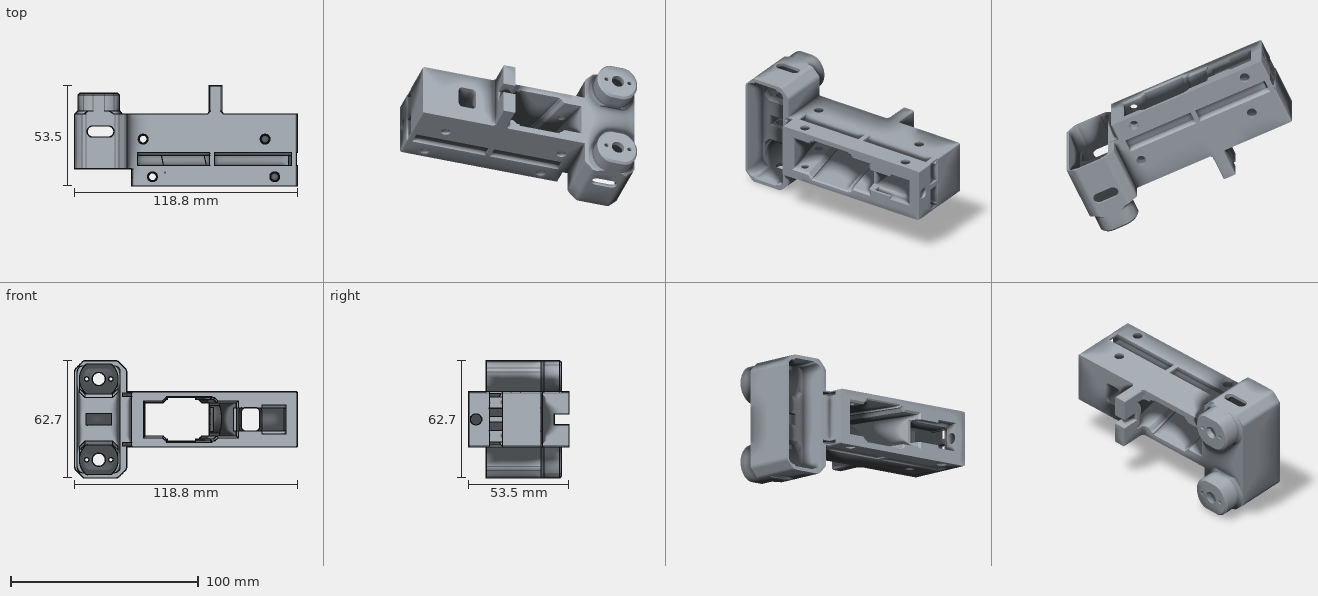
import cadquery as cq
import math

POD_WIDTH = 27.9
POD_HEIGHT = 62.7
POD_FRONT = 9.3
POD_BACK = 38.5
POD_CHAMFER = 5.0
POD_CORNER_RADIUS = 3.0
POCKET_LEFT, POCKET_RIGHT = 1.4, 24.3
POCKET_HEIGHT = 57.0
POCKET_FLOOR = 23.4
POCKET_RADIUS = 3.2
SENSOR_WIDTH, SENSOR_HEIGHT, SENSOR_DEPTH = 13.4, 6.2, 10.7
WIRE_SLOT_X, WIRE_SLOT_Y = 13.9, 29.1
WIRE_SLOT_LENGTH, WIRE_SLOT_WIDTH = 14.1, 5.8

BOSS_X, BOSS_Z = 13.0, 21.5
BOSS_RADIUS = 11.2
BOSS_OUTER_FLAT = POD_HEIGHT / 2 - BOSS_Z
BOSS_INNER_FLAT = 10.3
BOSS_FLAT_RADIUS = 7.1
BOSS_END = 49.5
BOSS_CHAMFER = 1.1
BOSS_FLARE, BOSS_FLARE_LENGTH = 1.4, 1.7
RECESS_RADIUS, RECESS_FLAT = 10.3, 8.0
RECESS_END = 46.3
SHAFT_HOLE_DIAMETER = 6.9
SCREW_HOLE_DIAMETER, SCREW_HOLE_OFFSET = 2.3, 6.4
LEAD_IN = 1.9
LEAD_IN_CORNER = 3.0

LENGTH = 118.8
BODY_LEFT = 30.4
BODY_HALF_HEIGHT = 14.8
BODY_HEIGHT = 2 * BODY_HALF_HEIGHT
BODY_BACK = POD_BACK
EDGE_RADIUS = 0.8

TAB_LEFT, TAB_RIGHT = 71.7, 78.6
TAB_END = 53.5
TAB_FLARE = 0.8
TAB_SLOT_WIDTH = 5.5
TAB_SLOT_FLOOR = 45.6
TAB_SLOT_LOW_FLOOR, TAB_SLOT_STEP = 43.6, 75.3

CAVITY_LEFT, CAVITY_RIGHT = 37.8, 86.2
CAVITY_DEPTH = 43.1
CAVITY_LEAN = 0.21
CAVITY_HALF_HEIGHT = 8.8
CAVITY_STEP = 10.6
CAVITY_WIDE = 11.5
WIDE_LEFT, WIDE_RIGHT = 49.8, 72.5
STEP_LEFT, STEP_RIGHT = 49.2, 74.2
CAVITY_BEVEL = 1.1
WIDE_BEVEL = 0.7
NOSE_START, NOSE_SHELF_END = 72.2, 74.1
NOSE_RADIUS, NOSE_CENTER_Y = 7.6, 45.4
NOSE_SHELF_Y = 41.3

BAY_LEFT, BAY_RIGHT = 86.2, 112.6
BAY_DEPTH = 19.0
BAY_HALF_HEIGHT = 6.2
BAY_WIDE_HALF, BAY_WIDE_LEFT = 7.7, 100.0
BAY_GROOVE_LEFT, BAY_GROOVE_FRONT = 89.1, 1.4
BAY_RAMP_START = 4.6
PASSAGE_LEFT, PASSAGE_DEPTH = 81.9, 7.2
PORT_LEFT, PORT_RIGHT = 89.0, 98.7
PORT_RADIUS = 2.3
PORT_CHAMFER = 1.3
END_HOLE_Y, END_HOLE_DIAMETER = 3.9, 5.9

STRAP_FRONT, STRAP_BACK = 11.0, 17.9
STRAP_FLOOR_BACK = 16.3
STRAP_DEPTH = 2.8
STRAP_COVER = 1.1
STRAP_SLOTS = [(33.6, 72.0), (74.7, 115.5)]
OUTLET_LEFT, OUTLET_BOTTOM = 114.1, 1.4
END_GROOVE_DEPTH = 0.5
SIDE_POCKET_LEFT, SIDE_POCKET_FRONT = 111.5, 7.4
SIDE_POCKET_DEPTH, SIDE_POCKET_HALF = 20.2, 5.8

THROUGH_SCREWS = [(36.6, 25.0), (41.6, 5.0)]
BLIND_SCREWS = [(101.5, 25.0), (106.6, 5.0)]
SCREW_DIAMETER = 4.2
COUNTERBORE_DIAMETER, COUNTERBORE_DEPTH = 5.2, 3.6
BLIND_SCREW_DEPTH = 4.8
TIE_LEFT, TIE_CENTER_Y = 25.6, 9.0
TIE_RADIUS = 5.3
TIE_BOTTOM, TIE_HEIGHT = 12.2, 1.9


def block(x0, x1, y0, y1, z0, z1):
    return cq.Workplane("XY").box(x1 - x0, y1 - y0, z1 - z0, centered=False).translate((x0, y0, z0))


def facing_back(y, x=0, z=0):
    """Sketch plane at depth y with local axes +X and +Z; a negative extrusion runs toward +Y."""
    return cq.Workplane("XZ", origin=(x, y, z))


def both_sides(shape):
    """The shape together with its mirror image below the middle plane."""
    return shape.union(shape.mirror("XY"))


def sheared_prism(outline, direction):
    """Prism swept from a closed outline along a direction that may be oblique."""
    return cq.Workplane(cq.Solid.extrudeLinear(outline.val(), [], direction))


def flattened_disc(y, length, radius, outer_flat, inner_flat):
    """Disc along +Y at the upper boss axis, cut flat above (outer) and below (inner)."""
    disc = facing_back(y, BOSS_X, BOSS_Z).circle(radius).extrude(-length)
    limit = block(
        BOSS_X - radius, BOSS_X + radius, y, y + length, BOSS_Z - inner_flat, BOSS_Z + outer_flat
    )
    return disc.intersect(limit)


def pod_shell():
    return (
        facing_back(POD_FRONT)
        .rect(POD_WIDTH, POD_HEIGHT)
        .extrude(POD_FRONT - POD_BACK)
        .translate((POD_WIDTH / 2, 0, 0))
        .edges("|Y").chamfer(POD_CHAMFER)
        .edges("|Y").fillet(POD_CORNER_RADIUS)
    )


def boss():
    """Upper motor boss with its rounded flats and flared foot."""
    body = flattened_disc(POD_BACK, BOSS_END - POD_BACK, BOSS_RADIUS, BOSS_OUTER_FLAT, BOSS_INNER_FLAT)
    body = body.edges("|Y").fillet(BOSS_FLAT_RADIUS).faces(">Y").chamfer(BOSS_CHAMFER)
    taper = math.degrees(math.atan2(BOSS_FLARE, BOSS_FLARE_LENGTH))
    foot = (
        facing_back(POD_BACK, BOSS_X, BOSS_Z)
        .circle(BOSS_RADIUS + BOSS_FLARE)
        .extrude(-BOSS_FLARE_LENGTH, taper=taper)
    )
    foot_limit = block(0, POD_WIDTH, POD_BACK, BOSS_END, BOSS_Z - BOSS_INNER_FLAT, POD_HEIGHT / 2)
    return body.union(foot.intersect(foot_limit))


def boss_recess():
    """Hollow of the upper boss, open to the pocket, with shaft and screw holes."""
    recess = flattened_disc(POD_FRONT, RECESS_END - POD_FRONT, RECESS_RADIUS, RECESS_FLAT, RECESS_FLAT)
    half = RECESS_RADIUS
    low = -RECESS_FLAT - LEAD_IN
    lead_in_mouth = (
        facing_back(POCKET_FLOOR, BOSS_X, BOSS_Z)
        .polyline([
            (-half, 0),
            (-half, low + LEAD_IN_CORNER),
            (-half + LEAD_IN_CORNER, low),
            (half - LEAD_IN_CORNER, low),
            (half, low + LEAD_IN_CORNER),
            (half, 0),
        ])
        .close()
    )
    lead_in = sheared_prism(lead_in_mouth, cq.Vector(0, LEAD_IN, LEAD_IN))
    shaft = facing_back(RECESS_END, BOSS_X, BOSS_Z).circle(SHAFT_HOLE_DIAMETER / 2)
    screws = facing_back(RECESS_END, BOSS_X, BOSS_Z).pushPoints(
        [(-SCREW_HOLE_OFFSET, 0), (SCREW_HOLE_OFFSET, 0)]
    ).circle(SCREW_HOLE_DIAMETER / 2)
    hole_length = RECESS_END - BOSS_END
    return recess.union(lead_in).union(shaft.extrude(hole_length)).union(screws.extrude(hole_length))


def pod_pocket():
    half = POCKET_HEIGHT / 2
    pocket = block(POCKET_LEFT, POCKET_RIGHT, POD_FRONT, POCKET_FLOOR, -half, half)
    pocket = pocket.edges("|Y").fillet(POCKET_RADIUS)
    sensor = (
        facing_back(POCKET_FLOOR, BOSS_X)
        .rect(SENSOR_WIDTH, SENSOR_HEIGHT)
        .extrude(-SENSOR_DEPTH)
    )
    wire_slot = (
        cq.Workplane("XY", origin=(WIRE_SLOT_X, WIRE_SLOT_Y, 0))
        .slot2D(WIRE_SLOT_LENGTH, WIRE_SLOT_WIDTH)
        .extrude(POD_HEIGHT / 2, both=True)
    )
    return pocket.union(sensor).union(wire_slot)


def body_block():
    z = BODY_HALF_HEIGHT
    lower = block(BODY_LEFT, LENGTH, 0, BODY_BACK, -z, z).edges("|Y").fillet(EDGE_RADIUS)
    bridge = block(POCKET_RIGHT, BODY_LEFT + EDGE_RADIUS, POD_FRONT, BODY_BACK, -z, z)
    return lower.union(bridge)


def tab():
    """Upright tab with a flared foot and a slot whose floor steps up toward +X."""
    z = BODY_HALF_HEIGHT
    plate = block(TAB_LEFT, TAB_RIGHT, BODY_BACK - EDGE_RADIUS, TAB_END, -z, z)
    plate = plate.edges("|Y").fillet(EDGE_RADIUS)
    foot = (
        cq.Workplane("XY", origin=(0, 0, -z))
        .polyline([
            (TAB_LEFT - TAB_FLARE, BODY_BACK),
            (TAB_LEFT + EDGE_RADIUS, BODY_BACK + TAB_FLARE + EDGE_RADIUS),
            (TAB_RIGHT - EDGE_RADIUS, BODY_BACK + TAB_FLARE + EDGE_RADIUS),
            (TAB_RIGHT + TAB_FLARE, BODY_BACK),
        ])
        .close()
        .extrude(BODY_HEIGHT)
    )
    slot = (
        cq.Workplane("XY")
        .polyline([
            (TAB_LEFT, TAB_SLOT_LOW_FLOOR),
            (TAB_SLOT_STEP, TAB_SLOT_LOW_FLOOR),
            (TAB_SLOT_STEP, TAB_SLOT_FLOOR),
            (TAB_RIGHT, TAB_SLOT_FLOOR),
            (TAB_RIGHT, TAB_END),
            (TAB_LEFT, TAB_END),
        ])
        .close()
        .extrude(TAB_SLOT_WIDTH / 2, both=True)
    )
    return plate.union(foot).cut(slot)


def main_cavity():
    """Leaning stepped opening through the body, less the rounded nose inside the tab."""
    step_rise = CAVITY_STEP - CAVITY_HALF_HEIGHT

    def mirrored(upper):
        return upper + [(x, -z) for x, z in reversed(upper)]

    narrow = mirrored([(CAVITY_LEFT, CAVITY_HALF_HEIGHT), (CAVITY_RIGHT, CAVITY_HALF_HEIGHT)])
    stepped = mirrored([
        (STEP_LEFT - step_rise, CAVITY_HALF_HEIGHT),
        (STEP_LEFT, CAVITY_STEP),
        (STEP_RIGHT, CAVITY_STEP),
        (STEP_RIGHT + step_rise, CAVITY_HALF_HEIGHT),
    ])
    wide = mirrored([(WIDE_LEFT, CAVITY_WIDE), (WIDE_RIGHT, CAVITY_WIDE)])

    def leaning_opening(outline, depth, bevel):
        """Prism that leans toward -X, with a bevel around its mouth."""
        wire = facing_back(0).polyline(outline).close()
        direction = cq.Vector(-CAVITY_LEAN * depth, depth, 0)
        prism = sheared_prism(wire, direction)
        mouth = wire.offset2D(bevel, "intersection").extrude(-bevel, taper=45)
        return prism.union(mouth)

    nose = (
        cq.Workplane("YZ", origin=(NOSE_START, NOSE_CENTER_Y, 0))
        .circle(NOSE_RADIUS)
        .extrude(TAB_RIGHT - NOSE_START)
    )
    shelf_gap = block(
        NOSE_START, NOSE_SHELF_END, NOSE_CENTER_Y - NOSE_RADIUS, NOSE_SHELF_Y, -NOSE_RADIUS, NOSE_RADIUS
    )
    return (
        leaning_opening(narrow, CAVITY_DEPTH, CAVITY_BEVEL)
        .union(leaning_opening(stepped, BODY_BACK, CAVITY_BEVEL))
        .union(leaning_opening(wide, BODY_BACK, WIDE_BEVEL))
        .cut(nose.cut(shelf_gap))
    )


def electronics_bay():
    """Bay with ramped grooves, a rounded port to the back and a passage to the main cavity."""
    z = BAY_HALF_HEIGHT
    rise = BAY_WIDE_HALF - z
    bay = block(BAY_LEFT, BAY_RIGHT, 0, BAY_DEPTH, -z, z)
    passage = block(PASSAGE_LEFT, BAY_LEFT, 0, PASSAGE_DEPTH, -z, z)

    def ramped_groove(left, front):
        section = [
            (front, -BAY_WIDE_HALF),
            (BAY_RAMP_START, -BAY_WIDE_HALF),
            (BAY_RAMP_START + rise, -z),
            (BAY_RAMP_START + rise, z),
            (BAY_RAMP_START, BAY_WIDE_HALF),
            (front, BAY_WIDE_HALF),
        ]
        return cq.Workplane("YZ", origin=(left, 0, 0)).polyline(section).close().extrude(BAY_RIGHT - left)

    port_x = (PORT_LEFT + PORT_RIGHT) / 2
    port_width = PORT_RIGHT - PORT_LEFT
    port = (
        facing_back(BAY_DEPTH, port_x)
        .rect(port_width, 2 * z)
        .extrude(BAY_DEPTH - BODY_BACK)
        .edges("|Y").fillet(PORT_RADIUS)
    )
    port_mouth = (
        facing_back(BAY_DEPTH, port_x)
        .sketch()
        .rect(port_width + 2 * PORT_CHAMFER, 2 * z + 2 * PORT_CHAMFER)
        .vertices().fillet(PORT_RADIUS + PORT_CHAMFER)
        .finalize()
        .extrude(-PORT_CHAMFER, taper=45)
        .intersect(block(BAY_LEFT, BAY_RIGHT, BAY_DEPTH, BODY_BACK, -z, z))
    )
    end_hole = (
        cq.Workplane("YZ", origin=(BAY_RIGHT, END_HOLE_Y, 0))
        .circle(END_HOLE_DIAMETER / 2)
        .extrude(LENGTH - BAY_RIGHT)
    )
    return (
        bay.union(passage)
        .union(ramped_groove(BAY_WIDE_LEFT, 0))
        .union(ramped_groove(BAY_GROOVE_LEFT, BAY_GROOVE_FRONT))
        .union(port).union(port_mouth).union(end_hole)
    )


def strap_channels():
    """Strap channels that pass under bars and leave through outlets and a groove in the end."""
    top = BODY_HALF_HEIGHT
    floor = top - STRAP_DEPTH
    ceiling = top - STRAP_COVER
    slope = (STRAP_BACK - STRAP_FLOOR_BACK) / STRAP_DEPTH

    def channel(left, right, height):
        section = [
            (STRAP_FRONT, height),
            (STRAP_FRONT, floor),
            (STRAP_FLOOR_BACK, floor),
            (STRAP_FLOOR_BACK + slope * (height - floor), height),
        ]
        return cq.Workplane("YZ", origin=(left, 0, 0)).polyline(section).close().extrude(right - left)

    cuts = channel(STRAP_SLOTS[0][0], LENGTH, ceiling)
    for left, right in STRAP_SLOTS:
        cuts = cuts.union(channel(left, right, top))
    outlet = block(OUTLET_LEFT, LENGTH, STRAP_FRONT, STRAP_BACK, OUTLET_BOTTOM, floor)
    groove = block(LENGTH - END_GROOVE_DEPTH, LENGTH, STRAP_FRONT, STRAP_BACK, -top, top)
    return both_sides(cuts.union(outlet)).union(groove)


def side_pocket():
    """Pocket in the bay's end wall that opens into the strap outlets."""
    z = SIDE_POCKET_HALF
    return block(SIDE_POCKET_LEFT, OUTLET_LEFT, SIDE_POCKET_FRONT, SIDE_POCKET_DEPTH, -z, z)


def screw_holes():
    """Counterbored holes entering from the +Z and -Z faces."""
    top = cq.Workplane("XY", origin=(0, 0, BODY_HALF_HEIGHT))
    through = top.pushPoints(THROUGH_SCREWS).circle(SCREW_DIAMETER / 2).extrude(-BODY_HALF_HEIGHT)
    blind = top.pushPoints(BLIND_SCREWS).circle(SCREW_DIAMETER / 2).extrude(-BLIND_SCREW_DEPTH)
    counterbores = (
        top.pushPoints(THROUGH_SCREWS + BLIND_SCREWS)
        .circle(COUNTERBORE_DIAMETER / 2)
        .extrude(-COUNTERBORE_DEPTH)
    )
    return both_sides(through.union(blind).union(counterbores))


def tie_recesses():
    """Recesses in the inner corner between pod and body, straight in the pod and round in the body."""
    back = TIE_CENTER_Y + TIE_RADIUS
    top = TIE_BOTTOM + TIE_HEIGHT
    straight = block(TIE_LEFT, POD_WIDTH, POD_FRONT, back, TIE_BOTTOM, top)
    curved = (
        cq.Workplane("XY", origin=(POD_WIDTH, TIE_CENTER_Y, TIE_BOTTOM))
        .circle(TIE_RADIUS)
        .extrude(TIE_HEIGHT)
    )
    right_half = block(POD_WIDTH, POD_WIDTH + TIE_RADIUS, 0, back, TIE_BOTTOM, top)
    return both_sides(straight.union(curved.intersect(right_half)))


result = (
    pod_shell()
    .union(both_sides(boss()))
    .union(body_block())
    .union(tab())
    .cut(pod_pocket())
    .cut(both_sides(boss_recess()))
    .cut(main_cavity())
    .cut(electronics_bay())
    .cut(side_pocket())
    .cut(strap_channels())
    .cut(screw_holes())
    .cut(tie_recesses())
)